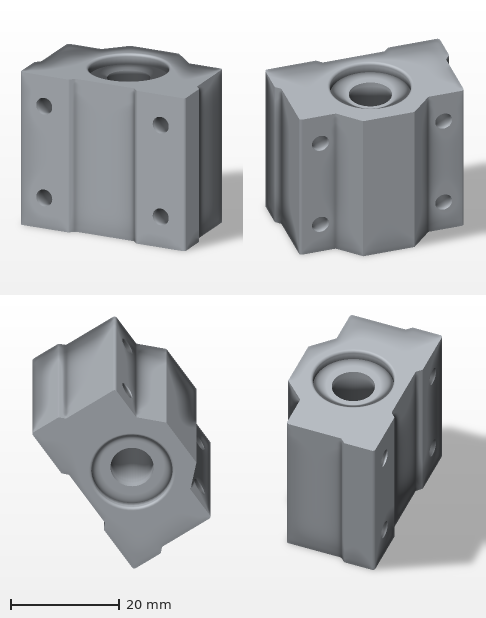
import cadquery as cq

base_width = 34.0
height = 22.0
length = 30.0

body_width = 32.03
shoulder_height = 18.0
crown_width = 10.0
base_step_height = 7.0
relief_width = 12.05
relief_depth = 1.0
edge_radius = 0.5

bore_height = 11.0
bore_diameter = 8.0
recess_diameter = 15.0
recess_depth = 2.0

hole_diameter = 3.3
hole_spacing_x = 24.0
hole_spacing_z = 18.0


def make_body():
    """Extrude the symmetric block profile and round its long edges."""
    base_half = base_width / 2
    body_half = body_width / 2
    crown_half = crown_width / 2
    relief_half = relief_width / 2

    crown_foot = crown_half + height - shoulder_height
    step_bottom = base_step_height - (base_half - body_half)
    relief_mouth = relief_half + relief_depth

    right_side = [
        (relief_half, relief_depth),
        (relief_mouth, 0),
        (base_half, 0),
        (base_half, step_bottom),
        (body_half, base_step_height),
        (body_half, shoulder_height),
        (crown_foot, shoulder_height),
        (crown_half, height),
    ]
    left_side = [(-x, y) for x, y in reversed(right_side)]
    body = cq.Workplane("XY").polyline(right_side + left_side).close().extrude(length)

    for x, y in right_side[:-1]:
        for side in (-1, 1):
            corner = (side * x, y, length / 2)
            body = body.edges(cq.selectors.NearestToPointSelector(corner)).fillet(edge_radius)
    return body


def cut_bore(body):
    """Cut the through bore and a recess with a rounded rim at each end."""
    bore = cq.Workplane("XY").center(0, bore_height).circle(bore_diameter / 2).extrude(length)
    body = body.cut(bore)
    for end_face in (">Z", "<Z"):
        body = (
            body.faces(end_face)
            .workplane(origin=(0, bore_height, 0))
            .circle(recess_diameter / 2)
            .cutBlind(-recess_depth)
        )
        rim = body.faces(end_face).edges("%CIRCLE").edges(cq.selectors.RadiusNthSelector(-1))
        body = rim.fillet(edge_radius)
    return body


def cut_mounting_holes(body):
    """Drill the four mounting holes through the block along Y."""
    holes = (
        cq.Workplane("XZ", origin=(0, height, length / 2))
        .rarray(hole_spacing_x, hole_spacing_z, 2, 2)
        .circle(hole_diameter / 2)
        .extrude(height)
    )
    return body.cut(holes)


result = cut_mounting_holes(cut_bore(make_body()))